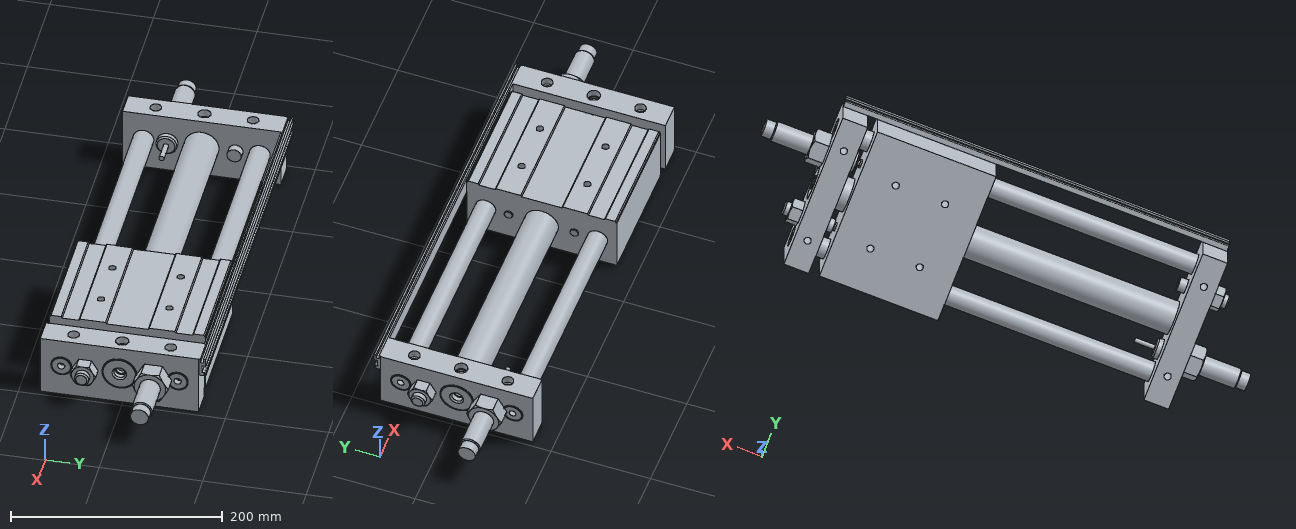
import cadquery as cq
import math


half_length = 195.0
plate_thickness = 25.5
plate_width = 153.0
plate_height = 62.5
inner_face = half_length - plate_thickness
plate_middle = half_length - plate_thickness / 2

axis_height = 33.0
tube_diameter = 33.5
rod_diameter = 20.0
rod_offset = 56.0
end_chamfer = 1.0

rod_hole_diameter = 6.5
rod_hole_depth = 6.0
end_port_rim = 14.0
end_port_diameter = 11.0
end_port_depth = 6.0
end_port_drill = 8.0
end_port_drill_depth = 10.5

mount_offset = 47.0
mount_diameter = 6.5
mount_counterbore = 11.0
mount_counterbore_depth = 8.0
top_port_diameter = 12.5
top_port_depth = 7.5
top_port_drill = 10.0
top_port_drill_depth = 10.5

rail_width = 6.5
rail_end_inset = 0.5
rail_bottom = 43.5
rail_web = 3.0
rail_channel_start = 1.5
rail_channel_end = 4.5
rail_channel_bottom = 54.5
rail_channel_floor = 58.5
rail_lip_top = 47.0
rail_lip_notch = 1.5

carriage_start = 39.0
carriage_length = 120.0
carriage_middle = carriage_start + carriage_length / 2
carriage_width = 151.0
carriage_bottom = 1.5
carriage_top = 62.5
pad_height = 1.5
inner_pad = (20.0, 47.0)
outer_pad = (63.0, 75.0)
pad_slope = 1.0
stop_offset = 33.0
carriage_hole_diameter = 6.5
carriage_hole_spacing = 50.0
stop_screw_diameter = 8.0
stop_screw_height = 1.5

absorber_tip = 258.0
absorber_diameter = 20.0
absorber_inner_end = 163.5
cap_diameter = 17.5
cap_length = 9.5
barrel_outer_chamfer = 1.0
barrel_inner_chamfer = 1.5
pin_diameter = 5.0
free_pin_length = 20.0
absorber_nut_flats = 30.5
absorber_nut_height = 16.0

bolt_diameter = 14.0
bolt_tip = 212.5
bolt_inner_end = 162.0
bolt_chamfer = 1.5
bolt_nut_flats = 21.5
bolt_nut_height = 11.5

nut_chamfer_angle = 30
hexagon_half_angle = 30


def rod_along_x(diameter, start, end, y):
    """Round bar between two X positions, at the common axis height."""
    return (
        cq.Workplane("YZ", origin=(start, y, axis_height))
        .circle(diameter / 2)
        .extrude(end - start)
    )


def upright_cylinder(diameter, bottom, top, x, y):
    """Round bar between two heights."""
    return cq.Workplane("XY", origin=(x, y, bottom)).circle(diameter / 2).extrude(top - bottom)


def block(x_range, y_range, z_range):
    """Box between pairs of coordinates."""
    size = [high - low for low, high in (x_range, y_range, z_range)]
    corner = (x_range[0], y_range[0], z_range[0])
    return cq.Workplane("XY", origin=corner).box(*size, centered=False)


def half_turn(body):
    """The same body at the opposite end of the frame."""
    return body.rotate((0, 0, 0), (0, 0, 1), 180)


def make_rail():
    """Sensor rail: a web with an upward channel above and a notched lip below."""
    inner = plate_width / 2
    outer = inner + rail_width
    web = inner + rail_web
    channel_start = inner + rail_channel_start
    channel_end = inner + rail_channel_end
    notch_bottom = (rail_bottom + rail_lip_top - rail_lip_notch) / 2
    notch_top = notch_bottom + rail_lip_notch
    profile = [
        (inner, rail_bottom),
        (outer, rail_bottom),
        (outer, notch_bottom),
        (outer - rail_lip_notch, notch_bottom),
        (outer - rail_lip_notch, notch_top),
        (outer, notch_top),
        (outer, rail_lip_top),
        (web, rail_lip_top),
        (web, rail_channel_bottom),
        (outer, rail_channel_bottom),
        (outer, plate_height),
        (channel_end, plate_height),
        (channel_end, rail_channel_floor),
        (channel_start, rail_channel_floor),
        (channel_start, plate_height),
        (inner, plate_height),
    ]
    rail_half_length = half_length - rail_end_inset
    return (
        cq.Workplane("YZ", origin=(-rail_half_length, 0, 0))
        .polyline(profile)
        .close()
        .extrude(2 * rail_half_length)
    )


def make_end_plate():
    """Left end plate with its bores and top port."""
    plate = block(
        (-half_length, -inner_face),
        (-plate_width / 2, plate_width / 2),
        (0, plate_height),
    )
    plate = plate.cut(rod_along_x(absorber_diameter, -half_length, -inner_face, -stop_offset))
    plate = plate.cut(rod_along_x(bolt_diameter, -half_length, -inner_face, stop_offset))

    plate = plate.cut(rod_along_x(tube_diameter, -half_length, -inner_face, 0))
    for y in (-rod_offset, rod_offset):
        plate = plate.cut(rod_along_x(rod_diameter, -half_length, -inner_face, y))

    for diameter, depth in (
        (top_port_diameter, top_port_depth),
        (top_port_drill, top_port_drill_depth),
    ):
        plate = plate.cut(
            upright_cylinder(diameter, plate_height - depth, plate_height, -plate_middle, 0)
        )
    return plate


def make_end_port():
    """Stepped port with a chamfered rim in the left end of the tube."""
    port = rod_along_x(end_port_diameter, -half_length, -half_length + end_port_depth, 0)
    drill = rod_along_x(end_port_drill, -half_length, -half_length + end_port_drill_depth, 0)
    rim_depth = (end_port_rim - end_port_diameter) / 2
    rim = (
        cq.Workplane("YZ", origin=(-half_length, 0, axis_height))
        .circle(end_port_rim / 2)
        .workplane(offset=rim_depth)
        .circle(end_port_diameter / 2)
        .loft()
    )
    return port.union(drill).union(rim)


def make_tube():
    """Cylinder tube with a port in each end."""
    tube = rod_along_x(tube_diameter, -half_length, half_length, 0)
    tube = tube.faces("<X or >X").chamfer(end_chamfer)
    port = make_end_port()
    return tube.cut(port).cut(half_turn(port))


def make_rod(y):
    """Guide rod with a blind hole in each end."""
    rod = rod_along_x(rod_diameter, -half_length, half_length, y)
    rod = rod.faces("<X or >X").chamfer(end_chamfer)
    hole_floor = half_length - rod_hole_depth
    rod = rod.cut(rod_along_x(rod_hole_diameter, -half_length, -hole_floor, y))
    return rod.cut(rod_along_x(rod_hole_diameter, hole_floor, half_length, y))


def make_mounting_hole(x, y):
    """Cutter for a counterbored hole from top to bottom of an end plate."""
    counterbore_floor = plate_height - mount_counterbore_depth
    hole = upright_cylinder(mount_diameter, 0, plate_height, x, y)
    return hole.union(upright_cylinder(mount_counterbore, counterbore_floor, plate_height, x, y))


def make_frame():
    """End plates joined by the tube, the guide rods and the sensor rail."""
    plate = make_end_plate()
    frame = make_rail().union(plate).union(half_turn(plate)).union(make_tube())
    for y in (-rod_offset, rod_offset):
        frame = frame.union(make_rod(y))
    for x in (-plate_middle, plate_middle):
        for y in (-mount_offset, mount_offset):
            frame = frame.cut(make_mounting_hole(x, y))
    return frame


def make_pad(near, far):
    """Raised strip along the carriage top with sloped flanks."""
    profile = [
        (near, carriage_top),
        (far, carriage_top),
        (far - pad_slope, carriage_top + pad_height),
        (near + pad_slope, carriage_top + pad_height),
    ]
    return (
        cq.Workplane("YZ", origin=(carriage_start, 0, 0))
        .polyline(profile)
        .close()
        .extrude(carriage_length)
    )


def make_carriage():
    """Sliding block with raised pads, vertical holes and stop screws."""
    carriage_end = carriage_start + carriage_length
    x_range = (carriage_start, carriage_end)
    carriage = block(
        x_range,
        (-carriage_width / 2, carriage_width / 2),
        (carriage_bottom, carriage_top),
    )
    pad_top = carriage_top + pad_height
    for near, far in (inner_pad, outer_pad):
        pad = make_pad(near, far)
        carriage = carriage.union(pad).union(pad.mirror("XZ"))

    for y in (-stop_offset, stop_offset):
        carriage = carriage.union(
            rod_along_x(
                stop_screw_diameter,
                carriage_start - stop_screw_height,
                carriage_end + stop_screw_height,
                y,
            )
        )
        for side in (-1, 1):
            x = carriage_middle + side * carriage_hole_spacing / 2
            hole = upright_cylinder(carriage_hole_diameter, carriage_bottom, pad_top, x, y)
            carriage = carriage.cut(hole)

    carriage = carriage.cut(rod_along_x(tube_diameter, *x_range, 0))
    for y in (-rod_offset, rod_offset):
        carriage = carriage.cut(rod_along_x(rod_diameter, *x_range, y))
    return carriage


def make_nut(flats, height, y):
    """Hexagon nut against the left plate, corners toward +Y and -Y, outer corners chamfered."""
    corners = flats / math.cos(math.radians(hexagon_half_angle))
    cone_rise = (corners - flats) / 2 * math.tan(math.radians(nut_chamfer_angle))
    outer_face = -half_length - height
    nut = (
        cq.Workplane("YZ", origin=(outer_face, y, axis_height))
        .polygon(6, corners)
        .extrude(height)
    )
    envelope = (
        cq.Workplane("YZ", origin=(outer_face, y, axis_height))
        .circle(flats / 2)
        .workplane(offset=cone_rise)
        .circle(corners / 2)
        .loft()
        .union(rod_along_x(corners, outer_face + cone_rise, -half_length, y))
    )
    return nut.intersect(envelope)


def make_absorber(pin_length):
    """Shock absorber in the left plate: cap, chamfered barrel, lock nut and plunger pin."""
    y = -stop_offset
    barrel_start = -absorber_tip + cap_length
    barrel = rod_along_x(absorber_diameter, barrel_start, -absorber_inner_end, y)
    barrel = barrel.faces("<X").chamfer(barrel_outer_chamfer)
    barrel = barrel.faces(">X").chamfer(barrel_inner_chamfer)
    cap = rod_along_x(cap_diameter, -absorber_tip, barrel_start, y)
    pin = rod_along_x(pin_diameter, -absorber_inner_end, -absorber_inner_end + pin_length, y)
    nut = make_nut(absorber_nut_flats, absorber_nut_height, y)
    return barrel.union(cap).union(pin).union(nut)


def make_bolt():
    """Adjusting bolt in the left plate with its lock nut."""
    y = stop_offset
    shank = rod_along_x(bolt_diameter, -bolt_tip, -bolt_inner_end, y)
    shank = shank.faces("<X").chamfer(bolt_chamfer)
    return shank.union(make_nut(bolt_nut_flats, bolt_nut_height, y))


carriage_stop = carriage_start + carriage_length + stop_screw_height
pressed_pin_length = absorber_inner_end - carriage_stop

frame = make_frame()
carriage = make_carriage()
absorbers = [make_absorber(free_pin_length), half_turn(make_absorber(pressed_pin_length))]
bolts = [make_bolt(), half_turn(make_bolt())]

stop_parts = [body.val() for body in absorbers + bolts]
result = cq.Compound.makeCompound([frame.val(), carriage.val(), *stop_parts])